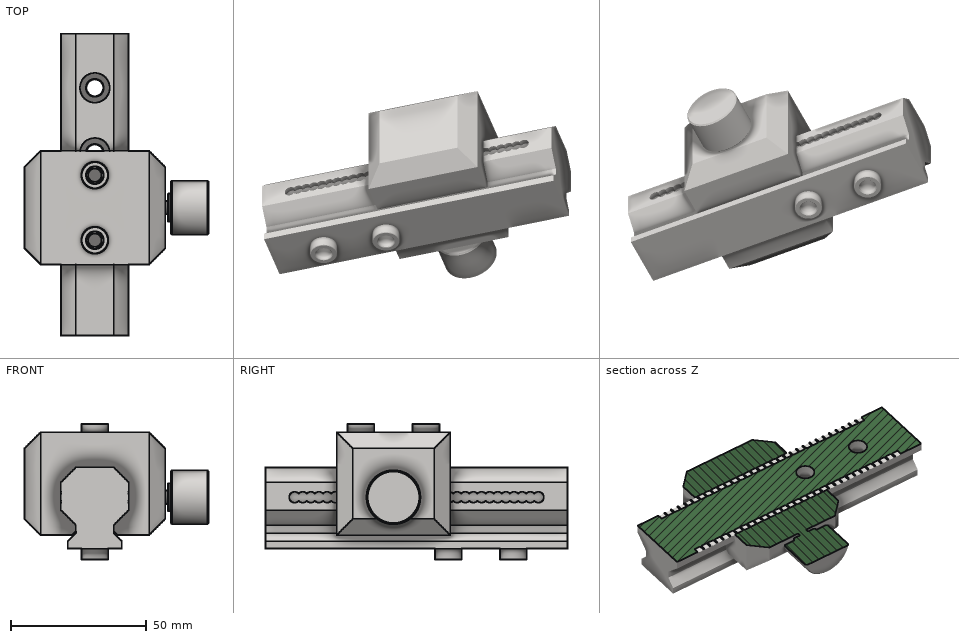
import cadquery as cq
import math


rail_length = 111.5
rail_back = 64.25
rail_height = 30.0
rail_width = 25.0
rail_chamfer = 5.5
neck_width = rail_width - 2 * rail_chamfer
foot_width = 20.0
foot_edge_height = 2.75
foot_top = foot_edge_height + (foot_width - neck_width) / 2
neck_height = 3.0
rail_side_bottom = foot_top + neck_height + rail_chamfer
rail_side_top = rail_height - rail_chamfer

screw_spacing = 24.0
screw_end_distance = 20.0
screw_ys = [rail_back - screw_end_distance - i * screw_spacing for i in range(2)]
screw_hole_diameter = 6.6
counterbore_diameter = 11.0
counterbore_depth = 12.0

notch_diameter = 4.0
notch_depth = 2.0
notch_pitch = 3.0
notch_count = 31
notch_z = 19.0

housing_width = 52.0
housing_length = 42.0
housing_bottom = 5.0
housing_height = 38.0
housing_top = housing_bottom + housing_height
housing_chamfer = 6.0
lip_gap = 0.6

knob_end = 42.0
knob_length = 14.0
knob_start = knob_end - knob_length
knob_diameter = 20.0
knob_chamfer = 0.5
collar_diameter = 10.5
collar_length = 1.0
collar_chamfer = 0.25
stem_diameter = 5.0

sleeve_diameter = 10.0
sleeve_bore = 6.2
sleeve_chamfer = 0.2
sleeve_length = 7.0
upper_projection = 3.1
lower_projection = 4.0
upper_sleeve_ys = [-screw_spacing / 2, screw_spacing / 2]
thread_diameter = 4.92
upper_recess_depth = sleeve_length - upper_projection
lower_recess_depth = sleeve_length - lower_projection


def extrude_profile(half_outline, y_front, length):
    """Mirror an (x, z) half outline about the Z axis and extrude it towards +Y."""
    mirrored = [(-x, z) for x, z in reversed(half_outline)]
    profile = cq.Workplane("XZ", origin=(0, y_front, 0)).polyline(half_outline + mirrored).close()
    return profile.extrude(-length)


def vertical_cylinder(diameter, y, z_bottom, height):
    return cq.Workplane("XY", origin=(0, y, z_bottom)).circle(diameter / 2).extrude(height)


def along_x(diameter, x_start, length):
    """Cylinder on the knob axis, running towards +X."""
    return cq.Workplane("YZ", origin=(x_start, 0, notch_z)).circle(diameter / 2).extrude(length)


upper_half_outline = [
    (neck_width / 2, foot_top + neck_height),
    (rail_width / 2, rail_side_bottom),
    (rail_width / 2, rail_side_top),
    (neck_width / 2, rail_height),
]


def index_notches():
    """Scalloped rows of overlapping round notches in the -X and +X sides of the rail."""
    middle_y = rail_back - rail_length / 2
    floor_distance = rail_width / 2 - notch_depth
    radius = notch_diameter / 2
    half_pitch = notch_pitch / 2
    cusp = math.sqrt(radius**2 - half_pitch**2)
    centers = [(i - (notch_count - 1) / 2) * notch_pitch for i in range(notch_count)]
    first = centers[0]
    last = centers[-1]

    outline = cq.Workplane("YZ", origin=(floor_distance, middle_y, notch_z))
    outline = outline.moveTo(first + half_pitch, -cusp)
    outline = outline.threePointArc((first - radius, 0), (first + half_pitch, cusp))
    for center in centers[1:-1]:
        outline = outline.threePointArc((center, radius), (center + half_pitch, cusp))
    outline = outline.threePointArc((last + radius, 0), (last - half_pitch, -cusp))
    for center in reversed(centers[1:-1]):
        outline = outline.threePointArc((center, -radius), (center - half_pitch, -cusp))
    row = outline.close().extrude(notch_depth)
    return row.union(row.mirror("YZ"))


def make_rail():
    foot_half_outline = [
        (foot_width / 2, 0),
        (foot_width / 2, foot_edge_height),
        (neck_width / 2, foot_top),
    ]
    rail = extrude_profile(foot_half_outline + upper_half_outline, rail_back - rail_length, rail_length)
    for y in screw_ys:
        rail = rail.cut(vertical_cylinder(screw_hole_diameter, y, 0, rail_height))
        rail = rail.cut(
            vertical_cylinder(counterbore_diameter, y, rail_height - counterbore_depth, counterbore_depth)
        )
        rail = rail.cut(vertical_cylinder(sleeve_diameter, y, 0, lower_recess_depth))
    return rail.cut(index_notches())


def make_knob():
    """Knob with its collar and the stem that joins it to the housing."""
    knob = along_x(knob_diameter, knob_start, knob_length).faces("<X or >X").chamfer(knob_chamfer)
    collar = along_x(collar_diameter, knob_start - collar_length, collar_length)
    collar = collar.faces("<X").chamfer(collar_chamfer)
    stem = along_x(stem_diameter, housing_width / 2, knob_start - housing_width / 2)
    return knob.union(collar).union(stem)


def make_housing():
    """Block with a channel around the rail, sleeve seats on top and the knob on its side."""
    block = cq.Workplane("XY", origin=(0, 0, housing_bottom)).box(
        housing_width, housing_length, housing_height, centered=(True, True, False)
    )
    block = block.faces("<X or >X").chamfer(housing_chamfer)
    lip_top = foot_top + lip_gap
    lip_half_outline = [
        (neck_width / 2 + lip_top - housing_bottom, housing_bottom),
        (neck_width / 2, lip_top),
    ]
    channel = extrude_profile(lip_half_outline + upper_half_outline, -housing_length / 2, housing_length)
    housing = block.cut(channel)
    for y in upper_sleeve_ys:
        housing = housing.cut(vertical_cylinder(thread_diameter, y, rail_height, housing_top - rail_height))
        housing = housing.cut(
            vertical_cylinder(sleeve_diameter, y, housing_top - upper_recess_depth, upper_recess_depth)
        )
    return housing.union(make_knob())


def make_sleeve(y, z_bottom):
    """Sleeve with small chamfers on its outer and bore edges."""
    sleeve = vertical_cylinder(sleeve_diameter, y, z_bottom, sleeve_length)
    sleeve = sleeve.cut(vertical_cylinder(sleeve_bore, y, z_bottom, sleeve_length))
    return sleeve.faces("<Z or >Z").edges().chamfer(sleeve_chamfer)


rail = make_rail()
housing = make_housing()
upper_sleeves = [make_sleeve(y, housing_top - upper_recess_depth) for y in upper_sleeve_ys]
lower_sleeves = [make_sleeve(y, -lower_projection) for y in screw_ys]
sleeves = [sleeve.val() for sleeve in upper_sleeves + lower_sleeves]

result = cq.Compound.makeCompound([rail.val(), housing.val(), *sleeves])